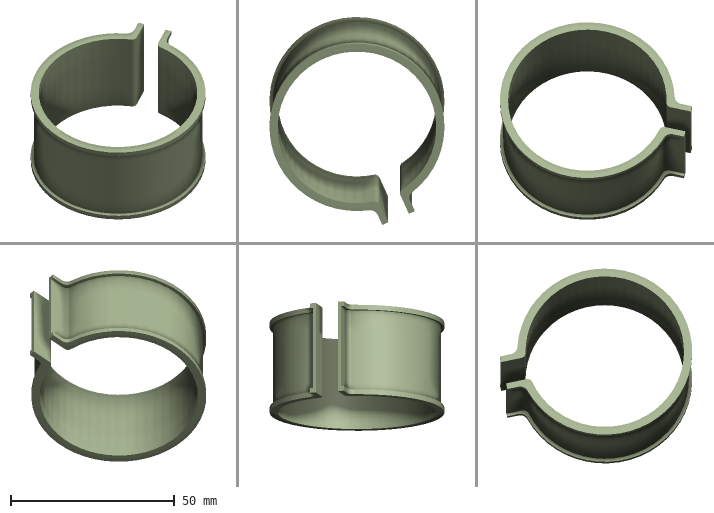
import cadquery as cq
import math

inner_radius = 24.25
band_radius = 25.75
flange_radius = 26.75
height = 28.0
flange_height = 1.5

overall_depth = 58.4
ear_tip_y = overall_depth - flange_radius
half_gap = 3.5
band_ear_thickness = 1.0
flange_ear_thickness = 1.85

inner_bend_radius = 1.5
band_bend_radius = 2.0
flange_bend_radius = 2.5


def bend_points(ring_radius, face_x, bend_radius):
    """Start, middle and end of an arc tangent to the ring's outside and to the ear face x = face_x."""
    center_x = face_x + bend_radius
    center_distance = ring_radius + bend_radius
    center_y = math.sqrt(center_distance**2 - center_x**2)
    ring_angle = math.atan2(-center_y, -center_x)
    middle_angle = (ring_angle - math.pi) / 2

    def on_bend(angle):
        return (center_x + bend_radius * math.cos(angle), center_y + bend_radius * math.sin(angle))

    return on_bend(ring_angle), on_bend(middle_angle), on_bend(-math.pi)


def mirrored(point):
    return (-point[0], point[1])


def clamp_layer(outer_radius, ear_thickness, outer_bend_radius, layer_height):
    """Split ring with two parallel ears, standing on the XY plane."""
    ear_outer_x = half_gap + ear_thickness
    outer_start, outer_middle, outer_end = bend_points(outer_radius, ear_outer_x, outer_bend_radius)
    inner_start, inner_middle, inner_end = bend_points(inner_radius, half_gap, inner_bend_radius)
    return (
        cq.Workplane("XY")
        .moveTo(*mirrored(outer_start))
        .threePointArc((0, -outer_radius), outer_start)
        .threePointArc(outer_middle, outer_end)
        .lineTo(ear_outer_x, ear_tip_y)
        .lineTo(half_gap, ear_tip_y)
        .lineTo(*inner_end)
        .threePointArc(inner_middle, inner_start)
        .threePointArc((0, -inner_radius), mirrored(inner_start))
        .threePointArc(mirrored(inner_middle), mirrored(inner_end))
        .lineTo(-half_gap, ear_tip_y)
        .lineTo(-ear_outer_x, ear_tip_y)
        .lineTo(*mirrored(outer_end))
        .threePointArc(mirrored(outer_middle), mirrored(outer_start))
        .close()
        .extrude(layer_height)
    )


result = clamp_layer(band_radius, band_ear_thickness, band_bend_radius, height)
flange = clamp_layer(flange_radius, flange_ear_thickness, flange_bend_radius, flange_height)
for flange_bottom in (0, height - flange_height):
    result = result.union(flange.translate((0, 0, flange_bottom)))